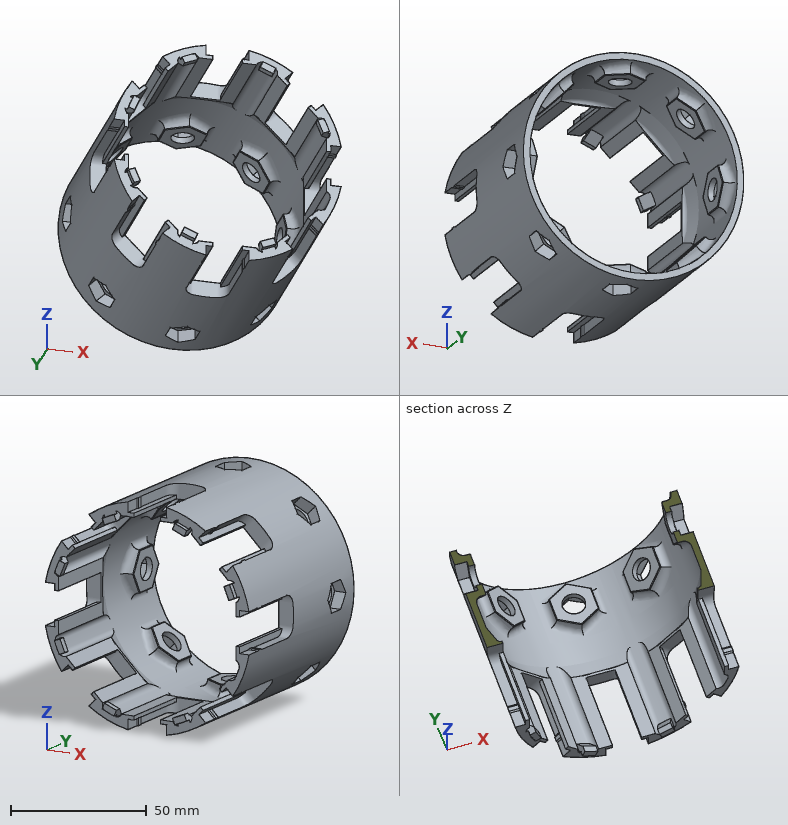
import cadquery as cq
import math

OUTER_RADIUS = 44.2
WALL_RADIUS = 41.5
TOTAL_LENGTH = 78.1
TAB_REACH = 2.0
LEG_END = TAB_REACH - TOTAL_LENGTH
STATIONS = 8
PITCH = 360 / STATIONS

ROOT_RADIUS = OUTER_RADIUS - 0.9

SLOT_END = -44.6
SLOT_HALF_WIDTH = 8.2
SLOT_CORNER_RADIUS = 3.7
LEDGE_HALF_WIDTH = 5.7
LEDGE_HEIGHT = 39.4
CUT_HEIGHT = OUTER_RADIUS + 0.9

PAD_HEIGHT = 37.8
PAD_HALF_WIDTH = 11.05
PAD_MARGIN = 1.15
BLEND_RADIUS = 2.5
RAMP_ANGLE = 17
RAMP_LENGTH = 7.3
RAMP_RADIUS = 1.8

HOLE_Y = -12.7
HOLE_DIAMETER = 8.75
NUT_FLATS = 11.4
NUT_FLOOR = 39.4
BOSS_HEIGHT = 37.0
BOSS_FLATS = 16.5
BOSS_CHAMFER = 0.31
BOSS_ROOT = OUTER_RADIUS - 1.8

BUMP_Y = -68.1
BUMP_LENGTH = 3.0
BUMP_TOP_LENGTH = 1.7
BUMP_RISE = 0.35

TAB_WIDTH = 5.5
TAB_OUTER_RADIUS = 40.5
TAB_ROOT_RADIUS = WALL_RADIUS + 0.4
TAB_FLAT_LENGTH = 0.4
TAB_SLOPE_LENGTH = 4.0
KEY_LEG = 2


def around(shape, index, offset=0.0):
    """Turn a shape made at the top of the ring to the given station about the Y axis."""
    return shape.rotate((0, 0, 0), (0, 1, 0), index * PITCH + offset)


def cylinder(radius, y_front, y_back):
    return cq.Workplane("XZ", origin=(0, y_back, 0)).circle(radius).extrude(y_back - y_front)


def tube(y_back):
    return cylinder(OUTER_RADIUS, LEG_END, y_back).cut(cylinder(WALL_RADIUS, LEG_END, y_back))


def hexagon(across_flats, height):
    """Hexagon sketch facing outward at the given height, with two corners along Y."""
    corner_diameter = across_flats / math.cos(math.radians(30))
    return (
        cq.Workplane("XY", origin=(0, HOLE_Y, height))
        .transformed(rotate=(0, 0, 90))
        .polygon(6, corner_diameter)
    )


def pad_section():
    """Pad cross-section along the whole ring, with both sides flaring into the wall."""
    centre_radius = WALL_RADIUS - BLEND_RADIUS
    corner_radius = math.hypot(PAD_HALF_WIDTH, PAD_HEIGHT)
    corner_angle = math.atan2(PAD_HALF_WIDTH, PAD_HEIGHT)
    turn = math.acos(
        (centre_radius**2 + corner_radius**2 - BLEND_RADIUS**2) / (2 * centre_radius * corner_radius)
    )
    touch_angle = corner_angle + turn
    centre_x = centre_radius * math.sin(touch_angle)
    centre_z = centre_radius * math.cos(touch_angle)
    touch_x = WALL_RADIUS * math.sin(touch_angle)
    touch_z = WALL_RADIUS * math.cos(touch_angle)
    root_x = ROOT_RADIUS * math.sin(touch_angle)
    root_z = ROOT_RADIUS * math.cos(touch_angle)
    start_angle = math.atan2(PAD_HEIGHT - centre_z, PAD_HALF_WIDTH - centre_x)
    end_angle = math.pi / 2 - touch_angle
    middle_angle = (start_angle + end_angle) / 2
    middle_x = centre_x + BLEND_RADIUS * math.cos(middle_angle)
    middle_z = centre_z + BLEND_RADIUS * math.sin(middle_angle)
    return (
        cq.Workplane("XZ")
        .moveTo(-PAD_HALF_WIDTH, PAD_HEIGHT)
        .lineTo(PAD_HALF_WIDTH, PAD_HEIGHT)
        .threePointArc((middle_x, middle_z), (touch_x, touch_z))
        .lineTo(root_x, root_z)
        .threePointArc((0, ROOT_RADIUS), (-root_x, root_z))
        .lineTo(-touch_x, touch_z)
        .threePointArc((-middle_x, middle_z), (-PAD_HALF_WIDTH, PAD_HEIGHT))
        .close()
        .extrude(-LEG_END)
    )


def pad_run_out():
    """Turned body that ends the pad with a small arc and a shallow cone."""
    slope = math.radians(RAMP_ANGLE)
    y_edge = SLOT_END + PAD_MARGIN
    ramp_end = y_edge + RAMP_LENGTH
    toe_y = y_edge + RAMP_RADIUS * (1 - math.sin(slope))
    toe_radius = WALL_RADIUS - (ramp_end - toe_y) * math.tan(slope)
    arc_radius = toe_radius - RAMP_RADIUS * math.cos(slope)
    middle_angle = (math.pi + math.pi / 2 + slope) / 2
    middle_y = y_edge + RAMP_RADIUS + RAMP_RADIUS * math.cos(middle_angle)
    middle_radius = arc_radius + RAMP_RADIUS * math.sin(middle_angle)
    bore_radius = WALL_RADIUS / 2
    return (
        cq.Workplane("XY")
        .moveTo(bore_radius, LEG_END)
        .lineTo(bore_radius, y_edge)
        .lineTo(arc_radius, y_edge)
        .threePointArc((middle_radius, middle_y), (toe_radius, toe_y))
        .lineTo(WALL_RADIUS, ramp_end)
        .lineTo(ROOT_RADIUS, ramp_end)
        .lineTo(ROOT_RADIUS, LEG_END)
        .close()
        .revolve(360, (0, 0, 0), (0, 1, 0))
    )


def pad():
    return pad_section().intersect(pad_run_out())


def is_boss_foot(edge):
    """True for the edges where the boss meets the wall."""
    middle = edge.positionAt(0.5)
    on_wall = abs(math.hypot(middle.x, middle.z) - WALL_RADIUS) < 0.01
    return on_wall and LEG_END / 2 < middle.y < -0.9 and middle.z > 0


def boss():
    """Hexagonal boss with a chamfered rim and a filleted foot."""
    block = (
        hexagon(BOSS_FLATS, BOSS_HEIGHT)
        .extrude(BOSS_ROOT - BOSS_HEIGHT)
        .faces("<Z")
        .chamfer(BOSS_CHAMFER)
    )
    raised = tube(-HOLE_Y).union(block)
    feet = [edge for edge in raised.edges().vals() if is_boss_foot(edge)]
    raised = raised.newObject(feet).fillet(BLEND_RADIUS)
    chunk = (
        cq.Workplane("XY", origin=(0, HOLE_Y, 0))
        .rect(BOSS_FLATS + 4 * BLEND_RADIUS, -2 * HOLE_Y)
        .extrude(OUTER_RADIUS)
        .intersect(cylinder(ROOT_RADIUS, LEG_END, 0))
    )
    return raised.intersect(chunk)


def nut_pocket():
    pocket = hexagon(NUT_FLATS, NUT_FLOOR).extrude(OUTER_RADIUS)
    hole = cq.Workplane("XY", origin=(0, HOLE_Y, 0)).circle(HOLE_DIAMETER / 2).extrude(OUTER_RADIUS)
    return pocket.union(hole)


def slot():
    """Slot cutter that leaves the inner ledges and the snap bumps standing."""
    length = SLOT_END - LEG_END + TAB_REACH
    y_middle = SLOT_END - length / 2
    wide = (
        cq.Workplane("XY", origin=(0, y_middle, 0))
        .rect(2 * SLOT_HALF_WIDTH, length)
        .extrude(CUT_HEIGHT)
        .edges("|Z and >Y")
        .fillet(SLOT_CORNER_RADIUS)
    )
    ledges = (
        cq.Workplane("XY", origin=(0, y_middle, 0))
        .rect(2 * SLOT_HALF_WIDTH, length)
        .rect(2 * LEDGE_HALF_WIDTH, length)
        .extrude(LEDGE_HEIGHT)
    )
    bump = (
        cq.Workplane("XY")
        .moveTo(SLOT_HALF_WIDTH, BUMP_Y - BUMP_LENGTH / 2)
        .lineTo(SLOT_HALF_WIDTH - BUMP_RISE, BUMP_Y - BUMP_TOP_LENGTH / 2)
        .lineTo(SLOT_HALF_WIDTH - BUMP_RISE, BUMP_Y + BUMP_TOP_LENGTH / 2)
        .lineTo(SLOT_HALF_WIDTH, BUMP_Y + BUMP_LENGTH / 2)
        .close()
        .extrude(CUT_HEIGHT)
    )
    return wide.cut(ledges).cut(bump).cut(bump.mirror("YZ"))


def tab():
    """Tab with a sloped back, rooted in the leg and standing clear of the wall past its end."""
    y_tip = LEG_END - TAB_REACH
    y_flat = LEG_END + TAB_FLAT_LENGTH
    y_root = y_flat + TAB_SLOPE_LENGTH
    limits = cylinder(TAB_OUTER_RADIUS, y_tip, LEG_END).union(cylinder(TAB_ROOT_RADIUS, LEG_END, 0))
    return (
        cq.Workplane("YZ")
        .moveTo(y_tip, PAD_HEIGHT)
        .lineTo(y_flat, PAD_HEIGHT)
        .lineTo(y_root, WALL_RADIUS)
        .lineTo(y_root, OUTER_RADIUS)
        .lineTo(y_tip, OUTER_RADIUS)
        .close()
        .extrude(TAB_WIDTH / 2, both=True)
        .intersect(limits)
    )


station_pad = pad()
station_boss = boss()
station_cut = slot().union(nut_pocket())
leg_tab = tab()

body = tube(0)
for station in range(STATIONS):
    body = body.union(around(station_pad, station))
    body = body.union(around(station_boss, station))
    body = body.cut(around(station_cut, station))
    if station != KEY_LEG:
        body = body.union(around(leg_tab, station, PITCH / 2))

result = body